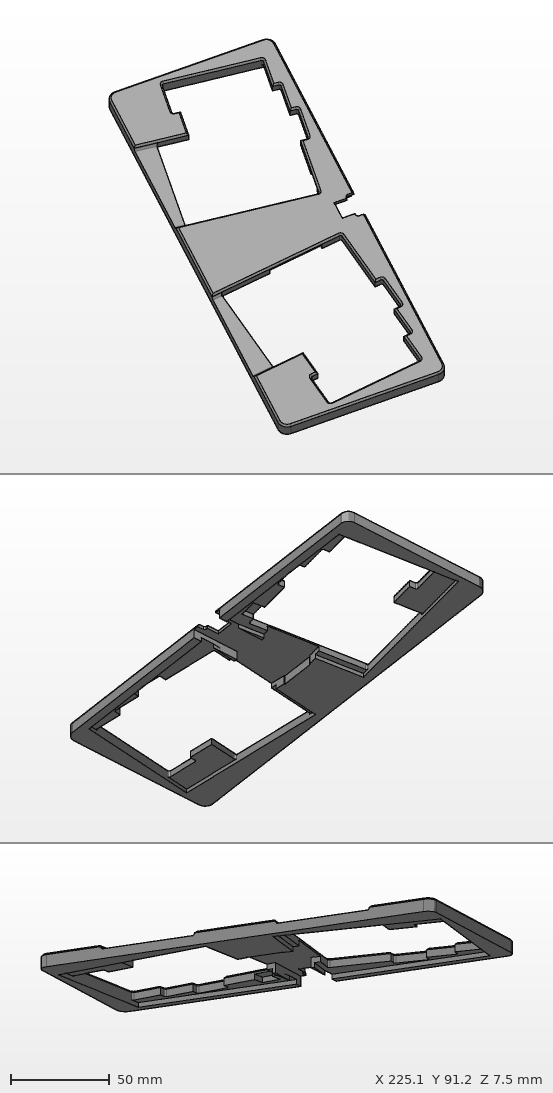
import cadquery as cq

length = 225.1
width = 91.2
thickness = 7.5
corner_radius = 5.0
edge_chamfer = 1.04

tilt = 7.0
key_field_width = 85.0
key_field_height = 68.5
column_count = 5
row_count = 4
column_pitch = key_field_width / column_count
row_pitch = key_field_height / row_count
stagger = row_pitch / 4
key_clearance = 1.0
inner_key_edge = -18.5
outer_key_edge = inner_key_edge - key_field_width
top_key_edge = 26.5
bottom_key_edge = top_key_edge - key_field_height
opening_corner_radius = 1.0

rail_drop = 2.3
rail_fillet = 1.2

notch_mouth_width = 14.5
notch_mouth_depth = 4.7
notch_width = 10.4
notch_depth = 11.7
notch_corner_chamfer = 1.0

back_wall = notch_mouth_depth
board_pocket_depth = 2.5
board_pocket_overlap = 3.4
deep_pocket_depth = 5.5
cable_bay_width = 20.3
cable_bay_front = -13.5
passage_length = 30.6
passage_centre = 1.1
passage_reach = 11.3
jack_slot_width = 10.8
jack_slot_inset = 4.3
jack_slot_length = 6.8


def turned(left):
    """Shape built in (u, v) set into its place on the plate."""
    return left.rotate((0, 0, 0), (0, 0, 1), -tilt)


def plan_box(x_min, x_max, y_min, y_max, height):
    """Box along the plate axes, standing on the underside."""
    box = cq.Workplane("XY").box(x_max - x_min, y_max - y_min, height, centered=False)
    return box.translate((x_min, y_min, 0))


def tilted_box(bounds, height):
    """Box (u_min, u_max, v_min, v_max) of the left opening's axes, standing on the underside."""
    return turned(plan_box(*bounds, height))


def both_sides(left):
    """The left shape together with its mirror image on the right."""
    return left.union(left.mirror("YZ"))


def opening_outline():
    """Corners (u, v) of the left opening, clockwise from its outer top corner."""
    c = key_clearance
    u_1 = outer_key_edge + column_pitch
    u_2 = u_1 + column_pitch
    u_3 = u_2 + column_pitch
    top = top_key_edge + c
    bottom = bottom_key_edge - c
    shelf = bottom + row_pitch
    return [
        (outer_key_edge - c, top - stagger),
        (u_1 - c, top - stagger),
        (u_1 - c, top),
        (u_2 - c, top),
        (u_2 - c, top + stagger),
        (u_3 + c, top + stagger),
        (u_3 + c, top),
        (inner_key_edge + c, top),
        (inner_key_edge + c, bottom),
        (u_2 - c, bottom),
        (u_2 - c, shelf),
        (u_1 + c, shelf),
        (u_1 + c, shelf - stagger),
        (outer_key_edge - c, shelf - stagger),
    ]


def opening():
    """Left through opening; only the corners that point away from the opening are rounded."""
    r = opening_corner_radius
    outline = cq.Workplane("XY").polyline(opening_outline()).close()
    hole = outline.offset2D(-r, "intersection").offset2D(r, "arc").extrude(thickness)
    return turned(hole)


def rail_recess():
    """Trough that lowers the left front rail, rounded along the foot of both side walls."""
    u_min = outer_key_edge + 2 * column_pitch - key_clearance
    u_max = inner_key_edge + key_clearance
    trough = cq.Workplane("XY").box(u_max - u_min, width, 2 * rail_drop, centered=(False, False, True))
    trough = trough.faces("<Z").edges("|Y").fillet(rail_fillet)
    trough = trough.translate((u_min, bottom_key_edge + row_pitch / 2 - width, thickness))
    return turned(trough)


def plug_notch():
    """Stepped notch through the back edge, its inner shoulders chamfered."""
    back = width / 2
    step = back - notch_mouth_depth
    half_mouth = notch_mouth_width / 2
    half_notch = notch_width / 2
    corner = notch_corner_chamfer
    right_half = [
        (half_mouth, back),
        (half_mouth, step + corner),
        (half_mouth - corner, step),
        (half_notch, step),
        (half_notch, back - notch_depth),
    ]
    left_half = [(-x, y) for x, y in reversed(right_half)]
    return cq.Workplane("XY").polyline(right_half + left_half).close().extrude(thickness)


def board_pocket():
    """Left hollow for the circuit board, from the outer side of the opening to the back wall."""
    bounds = (
        outer_key_edge - key_clearance,
        inner_key_edge + key_clearance + board_pocket_overlap,
        bottom_key_edge - key_clearance,
        width,
    )
    inside = plan_box(-length / 2, 0, -width / 2, width / 2 - back_wall, board_pocket_depth)
    return tilted_box(bounds, board_pocket_depth).intersect(inside)


def cable_bay():
    """Hollow below the notch, open through the back edge."""
    half = cable_bay_width / 2
    return plan_box(-half, half, cable_bay_front, width / 2, deep_pocket_depth)


def cable_passage():
    """Hollow from the left opening into the cable bay."""
    wall = inner_key_edge + key_clearance
    half = passage_length / 2
    bounds = (wall, wall + passage_reach, passage_centre - half, passage_centre + half)
    return tilted_box(bounds, deep_pocket_depth)


def jack_slot():
    """Hollow behind the innermost key column of the left opening only."""
    u_max = inner_key_edge + key_clearance - jack_slot_inset
    wall = top_key_edge + key_clearance
    bounds = (u_max - jack_slot_width, u_max, wall, wall + jack_slot_length)
    return tilted_box(bounds, deep_pocket_depth)


def plate():
    """Plate with openings and lowered rails, all its upper edges chamfered."""
    body = cq.Workplane("XY").box(length, width, thickness, centered=(True, True, False))
    body = body.edges("|Z").fillet(corner_radius)
    body = body.cut(both_sides(opening())).cut(both_sides(rail_recess()))
    return body.faces(">Z").edges().chamfer(edge_chamfer)


result = plate().cut(plug_notch())
result = result.cut(both_sides(board_pocket()))
result = result.cut(both_sides(cable_passage())).cut(cable_bay()).cut(jack_slot())